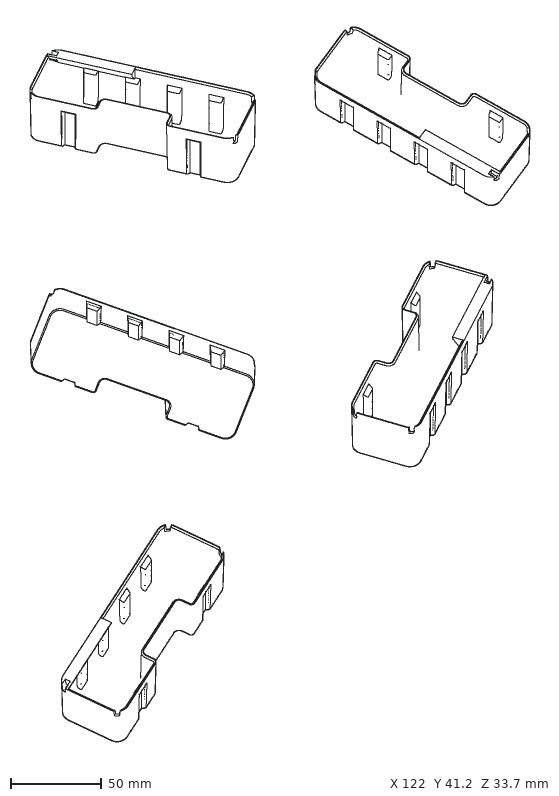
import cadquery as cq
import math

LENGTH = 122.0
WIDTH = 41.2
HEIGHT = 33.7

DRAFT = 0.9
WALL = 1.25
FLOOR = 1.2
CAVITY_FILLET = 4.1
BOTTOM_CHAMFER = 0.7
RIM_WIDTH = 0.35
RIM_CHAMFER_HEIGHT = 1.0

END_RADIUS = 7.0
NOTCH_HALF = 20.15
NOTCH_DEPTH = 10.0
NOTCH_INNER_RADIUS = 2.7
NOTCH_OUTER_RADIUS = 2.3

FLUTE_PITCH = 24.4
GROOVE_WIDTH = 8.9
GROOVE_BED_WIDTH = 5.9
GROOVE_DEPTH = 2.2
GROOVE_TOP_GAP = 6.6
GROOVE_TOP_SLOPE = 3.0
RIB_WIDTH = 8.7
RIB_FACE_WIDTH = 7.2
RIB_TOP_GAP = 7.0
RIB_TOP_SLOPE = 2.3
RIB_EDGE_RADIUS = 0.8

SHELF_LENGTH = 50.0
SHELF_DEPTH = 6.9
SHELF_EDGE = 1.2
SHELF_SLOPE = 1.3
SHELF_EDGE_RADIUS = 3.0

SLOT_OFFSET = 16.8
SLOT_TOP_WIDTH = 3.0
SLOT_BOTTOM_WIDTH = 2.3
SLOT_CORNER_RADIUS = 0.5
SLOT_DEPTH = 4.9
SLOT_REACH = 5.5

LEAN = math.tan(math.radians(DRAFT))
OVERLAP = 1.0


def inset_at(z):
    """How far the drafted outer wall lies inside the rim outline at height z."""
    return (HEIGHT - z) * LEAN


def outline(z, inset):
    """Closed, rounded U-shaped wire at height z, inset from the rim outline."""
    half_x = LENGTH / 2 - inset
    half_y = WIDTH / 2 - inset
    notch_x = NOTCH_HALF + inset
    notch_y = NOTCH_DEPTH - WIDTH / 2 + inset
    end_radius = END_RADIUS - inset
    outer_radius = NOTCH_OUTER_RADIUS - inset
    inner_radius = NOTCH_INNER_RADIUS + inset
    right_half = [
        (notch_x, notch_y, inner_radius),
        (notch_x, -half_y, outer_radius),
        (half_x, -half_y, end_radius),
        (half_x, half_y, end_radius),
    ]
    left_half = [(-x, y, radius) for x, y, radius in reversed(right_half)]
    corners = right_half + left_half

    wire = None
    for index, (x, y, radius) in enumerate(corners):
        before = corners[index - 1]
        after = corners[(index + 1) % len(corners)]
        corner = cq.Vector(x, y, 0)
        to_before = (cq.Vector(before[0], before[1], 0) - corner).normalized()
        to_after = (cq.Vector(after[0], after[1], 0) - corner).normalized()
        arc_start = corner + to_before * radius
        arc_middle = corner + (to_before + to_after) * (radius * (1 - math.sqrt(0.5)))
        arc_end = corner + to_after * radius
        if wire is None:
            wire = cq.Workplane("XY", origin=(0, 0, z)).moveTo(arc_start.x, arc_start.y)
        else:
            wire = wire.lineTo(arc_start.x, arc_start.y)
        wire = wire.threePointArc((arc_middle.x, arc_middle.y), (arc_end.x, arc_end.y))
    return wire.close().val()


def drafted_block(z_low, inset_low, z_high, inset_high):
    """Solid between two outlines."""
    wires = [outline(z_low, inset_low), outline(z_high, inset_high)]
    return cq.Workplane(cq.Solid.makeLoft(wires, True))


def make_shell():
    """Open bin with drafted walls, rounded floor edge and bevelled rim."""
    outside = drafted_block(0, inset_at(0), HEIGHT, 0)
    outside = outside.faces("<Z").edges().chamfer(BOTTOM_CHAMFER)

    cavity_top = HEIGHT + OVERLAP
    cavity = drafted_block(FLOOR, inset_at(FLOOR) + WALL, cavity_top, inset_at(cavity_top) + WALL)
    cavity = cavity.faces("<Z").edges().fillet(CAVITY_FILLET)

    bevel_bottom = HEIGHT - RIM_CHAMFER_HEIGHT
    bevel = drafted_block(bevel_bottom, inset_at(bevel_bottom) + WALL, HEIGHT, RIM_WIDTH)
    return outside.cut(cavity).cut(bevel)


def frustum(x, base, tip):
    """Tapered upright block; base and tip are (y, width, bottom z, top z)."""
    wires = []
    for y, width, z_low, z_high in (base, tip):
        points = [
            (x - width / 2, y, z_low),
            (x + width / 2, y, z_low),
            (x + width / 2, y, z_high),
            (x - width / 2, y, z_high),
        ]
        wires.append(cq.Wire.makePolygon([cq.Vector(*p) for p in points], close=True))
    return cq.Workplane(cq.Solid.makeLoft(wires, True))


def make_rib(x, side):
    """Rib on the inner wall, with a sloped top and rounded long edges."""
    base_y = WIDTH / 2 - WALL
    tip_y = WIDTH / 2 - GROOVE_DEPTH - inset_at(0) - WALL
    top = HEIGHT - RIB_TOP_GAP
    z_low = FLOOR / 2
    base = (side * base_y, RIB_WIDTH, z_low, top)
    tip = (side * tip_y, RIB_FACE_WIDTH, z_low, top - RIB_TOP_SLOPE)
    tip_face = "<Y" if side > 0 else ">Y"
    return frustum(x, base, tip).faces(tip_face).edges("|Z").fillet(RIB_EDGE_RADIUS)


def make_groove(x, side):
    """Groove in the outer wall, open at the bottom."""
    mouth_y = WIDTH / 2
    bed_y = mouth_y - inset_at(0) - GROOVE_DEPTH
    top = HEIGHT - GROOVE_TOP_GAP
    mouth = (side * mouth_y, GROOVE_WIDTH, -OVERLAP, top)
    bed = (side * bed_y, GROOVE_BED_WIDTH, -OVERLAP, top - GROOVE_TOP_SLOPE)
    return frustum(x, mouth, bed)


def make_shelf():
    """Shelf along the back wall with a sloped underside, kept inside the outer wall."""
    back = WIDTH / 2
    front = back - SHELF_DEPTH
    edge_bottom = HEIGHT - SHELF_EDGE
    profile = [
        (front, HEIGHT),
        (back, HEIGHT),
        (back, edge_bottom - SHELF_DEPTH * SHELF_SLOPE),
        (front, edge_bottom),
    ]
    bar = cq.Workplane("YZ", origin=(-LENGTH / 2, 0, 0)).polyline(profile).close().extrude(SHELF_LENGTH)
    blend_point = (SHELF_LENGTH / 2 - LENGTH / 2, front, edge_bottom)
    bar = bar.edges(cq.NearestToPointSelector(blend_point)).fillet(SHELF_EDGE_RADIUS)
    return bar.intersect(drafted_block(0, inset_at(0), HEIGHT, 0))


def make_slot(end, side):
    """Tapered slot cut down from the rim through an end wall."""
    top_half = SLOT_TOP_WIDTH / 2
    bottom_half = SLOT_BOTTOM_WIDTH / 2
    centre = side * SLOT_OFFSET
    bottom = HEIGHT - SLOT_DEPTH
    profile = [
        (centre - top_half, HEIGHT),
        (centre + top_half, HEIGHT),
        (centre + bottom_half, bottom),
        (centre - bottom_half, bottom),
    ]
    start = end * LENGTH / 2
    slot = cq.Workplane("YZ", origin=(start, 0, 0)).polyline(profile).close().extrude(-end * SLOT_REACH)
    return slot.faces("<Z").edges("|X").fillet(SLOT_CORNER_RADIUS)


BACK = 1
FRONT = -1
inner_x = FLUTE_PITCH / 2
outer_x = inner_x + FLUTE_PITCH
flutes = [(x, BACK) for x in (-outer_x, -inner_x, inner_x, outer_x)]
flutes += [(x, FRONT) for x in (-outer_x, outer_x)]

result = make_shell().union(make_shelf())
for x, side in flutes:
    result = result.union(make_rib(x, side))
for x, side in flutes:
    result = result.cut(make_groove(x, side))
for end in (-1, 1):
    for side in (FRONT, BACK):
        result = result.cut(make_slot(end, side))